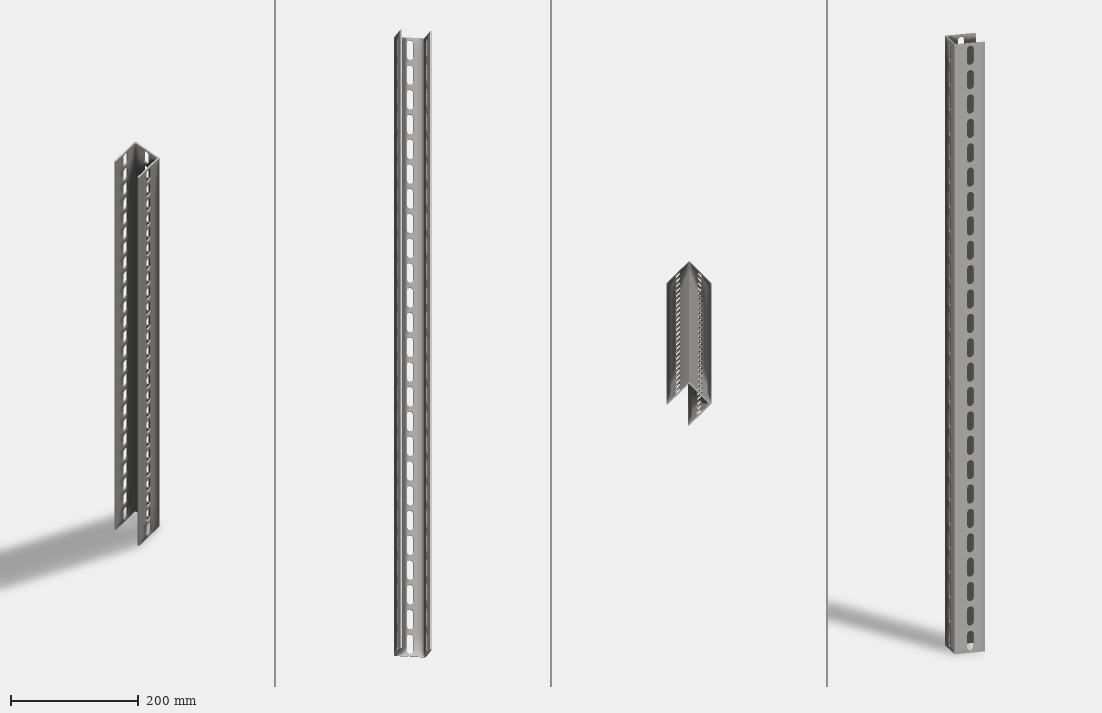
import cadquery as cq

length = 1000.0
width = 50.0
depth = 50.0
thickness = 2.5
inner_radius = 1.0

slot_pitch = 40.0
slot_count = round(length / slot_pitch)
slot_length = 32.0
web_slot_width = 10.0
flange_slot_width = 11.0
flange_slot_y = -1.0


def channel():
    """U-shaped bar standing along Z, centred on the origin."""
    outer = cq.Workplane("XY").box(width, depth, length)
    inner = (
        cq.Workplane("XY")
        .box(width - 2 * thickness, depth, length)
        .edges("|Z and >Y")
        .fillet(inner_radius)
        .translate((0, -thickness, 0))
    )
    return outer.cut(inner)


def slot_row(plane, slot_width, half_cut):
    """Row of round-ended slots along Z, reaching half_cut to each side of the plane."""
    return (
        cq.Workplane(plane)
        .rarray(10, slot_pitch, 1, slot_count)
        .slot2D(slot_length, slot_width, 90)
        .extrude(half_cut, both=True)
    )


web_slots = slot_row("XZ", web_slot_width, depth)

flange_slots = slot_row("YZ", flange_slot_width, width).translate((0, flange_slot_y, 0))

result = channel().cut(web_slots).cut(flange_slots)